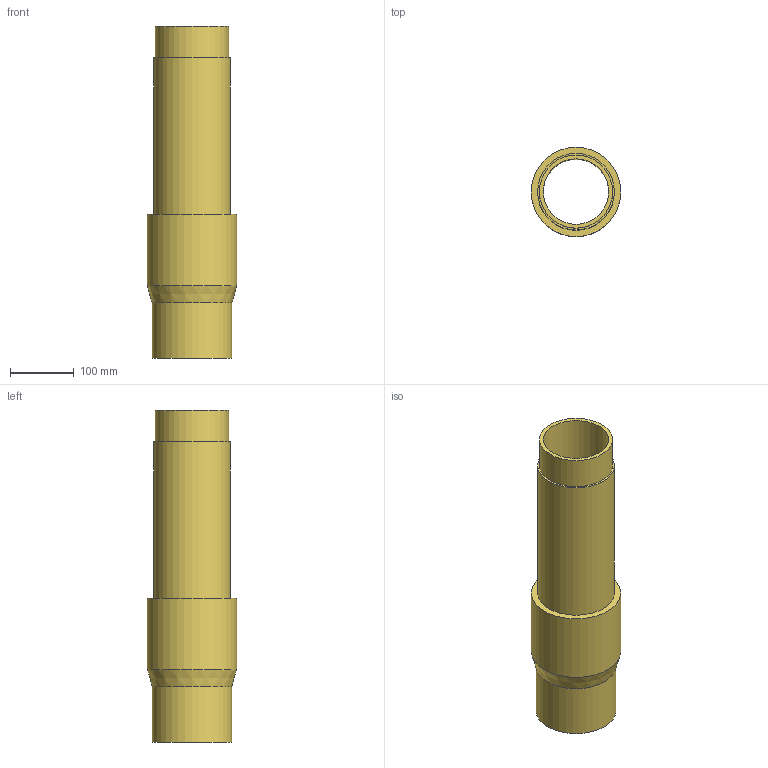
import cadquery as cq

total_length = 519.0
wall_thickness = 6.0

pin_diameter = 114.3
body_diameter = 120.0
collar_diameter = 139.7
tail_diameter = 125.0

pin_length = 50.0
tail_length = 86.0
taper_length = 27.0
collar_length = 112.0

taper_top = tail_length + taper_length
collar_top = taper_top + collar_length
body_top = total_length - pin_length


def tube_profile():
    """Half section of the stepped tube wall, with x as radius and y as height."""
    pin_radius = pin_diameter / 2
    bore_radius = pin_radius - wall_thickness
    body_radius = body_diameter / 2
    collar_radius = collar_diameter / 2
    tail_radius = tail_diameter / 2
    return (
        cq.Workplane("XZ")
        .moveTo(bore_radius, 0)
        .lineTo(tail_radius, 0)
        .lineTo(tail_radius, tail_length)
        .lineTo(collar_radius, taper_top)
        .lineTo(collar_radius, collar_top)
        .lineTo(body_radius, collar_top)
        .lineTo(body_radius, body_top)
        .lineTo(pin_radius, body_top)
        .lineTo(pin_radius, total_length)
        .lineTo(bore_radius, total_length)
        .close()
    )


result = tube_profile().revolve(360, (0, 0, 0), (0, 1, 0))